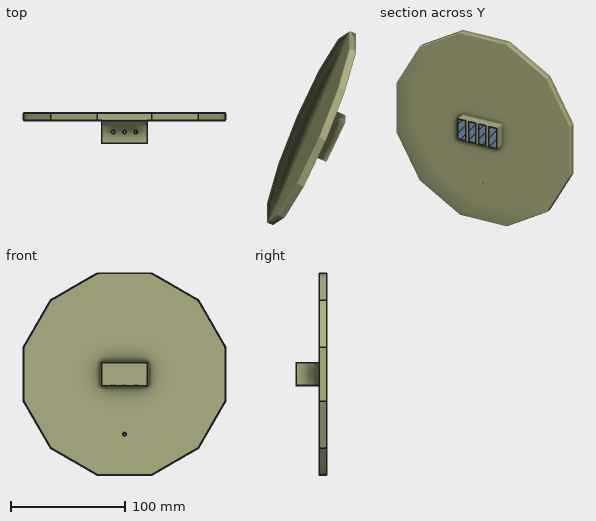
import cadquery as cq

SIDE_COUNT = 12
PLATE_ACROSS_FLATS = 176.77
PLATE_THICKNESS = 6.8
EDGE_RADIUS = 1.2

BLOCK_WIDTH = 40.0
BLOCK_HEIGHT = 20.0
BLOCK_DEPTH = 20.0

HOLE_DIAMETER = 2.5
BLOCK_HOLE_COUNT = 3
BLOCK_HOLE_SPACING = 10.0
PLATE_HOLE_DROP = 52.5


def make_plate():
    """Plate from Y = 0 (front) to Y = thickness (back), with flats on top, bottom and sides."""
    plate = (
        cq.Workplane("XZ")
        .polygon(SIDE_COUNT, PLATE_ACROSS_FLATS, circumscribed=True)
        .extrude(-PLATE_THICKNESS)
    )
    return plate.faces("<Y or >Y").fillet(EDGE_RADIUS)


def make_block():
    """Rectangular block standing out of the plate's front face at its centre."""
    return cq.Workplane("XZ").rect(BLOCK_WIDTH, BLOCK_HEIGHT).extrude(BLOCK_DEPTH)


def make_block_holes():
    """Row of vertical holes passing through the block, halfway along its depth."""
    return (
        cq.Workplane("XY", origin=(0, -BLOCK_DEPTH / 2, 0))
        .rarray(BLOCK_HOLE_SPACING, 1, BLOCK_HOLE_COUNT, 1)
        .circle(HOLE_DIAMETER / 2)
        .extrude(BLOCK_HEIGHT / 2, both=True)
    )


def make_plate_hole():
    """Single hole passing through the plate, below the block."""
    return (
        cq.Workplane("XZ")
        .center(0, -PLATE_HOLE_DROP)
        .circle(HOLE_DIAMETER / 2)
        .extrude(-PLATE_THICKNESS)
    )


result = make_plate().union(make_block()).cut(make_block_holes()).cut(make_plate_hole())